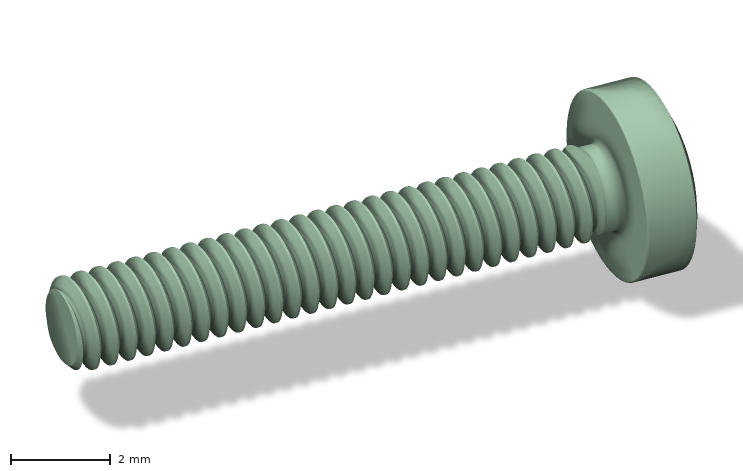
import cadquery as cq
import math


total_length = 13.58
shank_length = 12.0

head_diameter = 4.0
head_side_height = 1.07
head_edge_round = 0.04

wing_width = 0.43
wing_span = 2.12
recess_depth = 0.95
wing_end_taper = 26.5

neck_diameter = 1.8
neck_length = 0.41
neck_fillet = 0.11
shoulder_length = 0.16

major_diameter = 2.0
pitch = 0.4
flank_angle = 60.0
thread_depth = 0.25
crest_flat = pitch / 8
tip_face_diameter = 1.6
groove_start = 0.6
groove_lead_in = 75.0
cut_margin = 0.03

head_radius = head_diameter / 2
neck_radius = neck_diameter / 2
major_radius = major_diameter / 2
tip_face_radius = tip_face_diameter / 2
head_height = total_length - shank_length


def dome_radius():
    """Radius of the dome that ends on the head rim and whose highest points, the
    inner corners of the cross recess, lie at head_height."""
    corner_distance = wing_width / math.sqrt(2)
    rise = head_height - head_side_height
    center_drop = (head_radius**2 - corner_distance**2 - rise**2) / (2 * rise)
    return math.hypot(head_radius, center_drop)


def dome_apex():
    """Height of the complete dome on the screw axis, before the recess is cut."""
    radius = dome_radius()
    return head_side_height + radius - math.sqrt(radius**2 - head_radius**2)


def dome_height_at(distance):
    """Height of the dome surface at a distance from the screw axis."""
    radius = dome_radius()
    return dome_apex() - radius + math.sqrt(radius**2 - distance**2)


def make_blank():
    """Turned head, filleted neck and unthreaded shank as one revolved profile."""
    end_chamfer = major_radius - tip_face_radius
    fillet_dip = neck_fillet * (1 - math.sqrt(0.5))
    round_dip = head_edge_round * (1 - math.sqrt(0.5))
    mid_dome = head_radius / 2
    return (
        cq.Workplane("XZ")
        .moveTo(0, -shank_length)
        .lineTo(tip_face_radius, -shank_length)
        .lineTo(major_radius, -shank_length + end_chamfer)
        .lineTo(major_radius, -neck_length - shoulder_length)
        .lineTo(neck_radius, -neck_length)
        .lineTo(neck_radius, -neck_fillet)
        .threePointArc((neck_radius + fillet_dip, -fillet_dip), (neck_radius + neck_fillet, 0))
        .lineTo(head_radius - head_edge_round, 0)
        .threePointArc((head_radius - round_dip, round_dip), (head_radius, head_edge_round))
        .lineTo(head_radius, head_side_height)
        .threePointArc((mid_dome, dome_height_at(mid_dome)), (0, dome_apex()))
        .close()
        .revolve(360, (0, 0, 0), (0, 1, 0))
    )


def make_cross_recess():
    """Two crossed wings whose ends slope inwards towards the recess floor."""
    wing_rim = dome_height_at(wing_span / 2)
    slope = math.tan(math.radians(wing_end_taper))
    floor = dome_apex() - recess_depth
    top = dome_apex() + cut_margin
    floor_half = wing_span / 2 - (wing_rim - floor) * slope
    wing = (
        cq.Workplane("XZ")
        .polyline([
            (-floor_half, floor),
            (floor_half, floor),
            (wing_span / 2, wing_rim),
            (wing_span / 2, top),
            (-wing_span / 2, top),
            (-wing_span / 2, wing_rim),
        ])
        .close()
        .extrude(wing_width / 2, both=True)
    )
    return wing.union(wing.rotate((0, 0, 0), (0, 0, 1), 90))


def make_groove_turn():
    """One turn of the flat-rooted helical groove, rising from Z = 0 on the +X side."""
    flank_slope = math.tan(math.radians(flank_angle / 2))
    root_radius = major_radius - thread_depth
    outer_radius = major_radius + cut_margin
    outer_half = (pitch - crest_flat) / 2 + cut_margin * flank_slope
    root_half = outer_half - (outer_radius - root_radius) * flank_slope
    section = [
        (root_radius, -root_half),
        (outer_radius, -outer_half),
        (outer_radius, outer_half),
        (root_radius, root_half),
    ]
    helices = [
        cq.Wire.makeHelix(pitch, pitch, radius).translate(cq.Vector(0, 0, offset))
        for radius, offset in section
    ]
    walls = [
        cq.Face.makeRuledSurface(helix, next_helix)
        for helix, next_helix in zip(helices, helices[1:] + helices[:1])
    ]
    ends = [
        cq.Face.makeFromWires(
            cq.Wire.makePolygon([cq.Vector(radius, 0, z + offset) for radius, offset in section], close=True)
        )
        for z in (0, pitch)
    ]
    return cq.Solid.makeSolid(cq.Shell.makeShell(walls + ends))


def make_thread_groove():
    """Single turns stacked end to end from below the neck to past the tip."""
    start_height = -groove_start + pitch * groove_lead_in / 360
    turn_count = math.ceil((shank_length + start_height) / pitch)
    turn = cq.Workplane(make_groove_turn()).rotate((0, 0, 0), (0, 0, 1), groove_lead_in)
    return [
        turn.translate((0, 0, start_height - (i + 1) * pitch)).val()
        for i in range(turn_count)
    ]


recessed_blank = make_blank().cut(make_cross_recess())

groove_turns = make_thread_groove()
threaded_solid = recessed_blank.val().cut(*groove_turns[::2]).cut(*groove_turns[1::2])
screw = cq.Workplane(threaded_solid).solids()

result = screw.rotate((0, 0, 0), (1, 0, 0), -90)